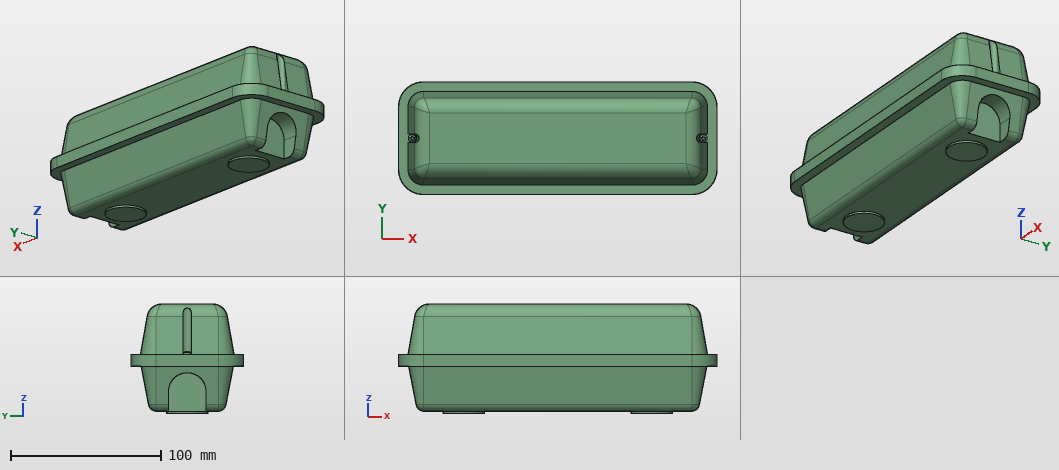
import cadquery as cq

length = 212.0
width = 75.0
flange_thickness = 8.0
flange_corner = 16.7

cover_ledge = 6.4
base_ledge = 6.8
cover_draft = 10.0
base_draft = 11.0
cover_height = 33.5
cover_round = 10.0
base_height = 29.9
base_round = 5.5

foot_diameter = 27.5
foot_height = 1.5
foot_spacing = 125.0

screw_inset = 9.1
slot_lean = 3.0
slot_radius = 3.0
head_radius = 2.5
head_edge_height = 1.0
head_dome_height = 0.8
cross_length = 3.0
cross_width = 0.8
cross_depth = 1.3

arch_radius = 12.5
arch_gap = 4.2
arch_inset = 22.0

flange_top = flange_thickness
ends = (-1, 1)


def drafted_block(start, height, ledge, draft, edge_round):
    """Rounded block drafted inward from the plane Z = start; negative height goes down."""
    far_face = ">Z" if height > 0 else "<Z"
    return (
        cq.Workplane("XY")
        .workplane(offset=start)
        .sketch()
        .rect(length - 2 * ledge, width - 2 * ledge)
        .vertices()
        .fillet(flange_corner - ledge)
        .finalize()
        .extrude(height, taper=draft)
        .faces(far_face)
        .edges()
        .fillet(edge_round)
    )


def make_flange():
    return (
        cq.Workplane("XY")
        .box(length, width, flange_thickness, centered=(True, True, False))
        .edges("|Z")
        .fillet(flange_corner)
    )


def foot(x):
    return (
        cq.Workplane("XY", origin=(x, 0, -base_height))
        .circle(foot_diameter / 2)
        .extrude(-foot_height)
    )


def screw_slot(end):
    """Round-backed slot, open through the cover's end wall and leaning inward as it rises."""
    x = end * (length / 2 - screw_inset)
    depth = 2 * cover_height
    bore = cq.Workplane("XY").circle(slot_radius).extrude(depth, both=True)
    mouth = (
        cq.Workplane("XY")
        .center(end * screw_inset / 2, 0)
        .rect(screw_inset, 2 * slot_radius)
        .extrude(depth, both=True)
    )
    return (
        bore.union(mouth)
        .rotate((0, 0, 0), (0, 1, 0), -end * slot_lean)
        .translate((x, 0, flange_top))
    )


def screw_head(end):
    """Domed screw head standing on the flange, with a cross cut into its top."""
    x = end * (length / 2 - screw_inset)
    top = head_edge_height + head_dome_height
    dome_radius = (head_radius**2 + head_dome_height**2) / (2 * head_dome_height)
    head = (
        cq.Workplane("XZ", origin=(x, 0, flange_top))
        .lineTo(head_radius, 0)
        .lineTo(head_radius, head_edge_height)
        .radiusArc((0, top), -dome_radius)
        .close()
        .revolve(360, (0, 0), (0, 1))
    )
    for angle in (0, 90):
        bar = (
            cq.Workplane("XY", origin=(x, 0, flange_top + top))
            .transformed(rotate=(0, 0, angle))
            .rect(cross_length, cross_width)
            .extrude(-cross_depth)
        )
        head = head.cut(bar)
    return head


def cable_recess(end):
    """Round-topped recess with a flat back, open at the end wall and underneath."""
    arch_centre = -arch_gap - arch_radius
    return (
        cq.Workplane("YZ", origin=(end * (length / 2 - arch_inset), 0, 0))
        .moveTo(-arch_radius, -base_height)
        .lineTo(-arch_radius, arch_centre)
        .threePointArc((0, -arch_gap), (arch_radius, arch_centre))
        .lineTo(arch_radius, -base_height)
        .close()
        .extrude(end * arch_inset)
    )


cover = drafted_block(flange_top, cover_height, cover_ledge, cover_draft, cover_round)
base = drafted_block(0, -base_height, base_ledge, base_draft, base_round)
for end in ends:
    cover = cover.cut(screw_slot(end))
    base = base.cut(cable_recess(end))

housing = make_flange().union(cover).union(base)
for end in ends:
    housing = housing.union(foot(end * foot_spacing / 2))
    housing = housing.union(screw_head(end))

result = housing.solids()